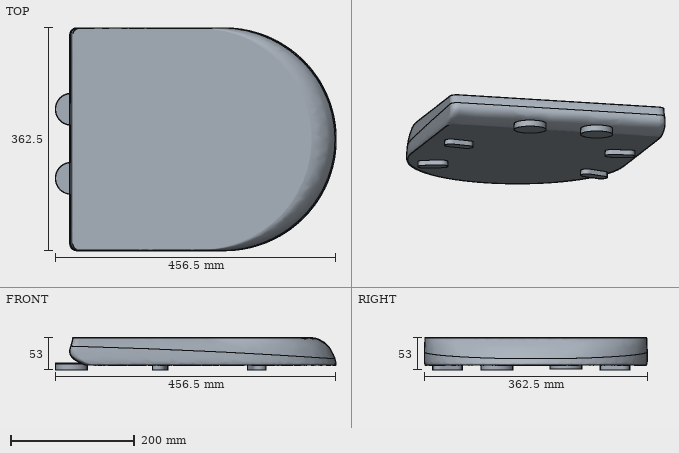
import cadquery as cq
import math

LENGTH = 456.5
WIDTH = 362.5
HEIGHT = 53.0
HALF_WIDTH = WIDTH / 2

SEAT_BOTTOM = 8.0
CORNER_RADIUS = 11.5
OUTER_LEVELS = [
    (SEAT_BOTTOM, 54.8, 453.5, 2.5),
    (11.5, 41.0, LENGTH, 0.5),
    (17.0, 31.5, 455.0, 0.0),
    (23.0, 25.5, 452.5, 0.0),
    (29.5, 23.5, 449.5, 0.0),
    (39.0, 25.0, 443.5, 0.5),
    (47.5, 28.0, 433.0, 1.0),
    (HEIGHT, 29.5, 416.5, 2.0),
]

SEAM_BACK = (25.5, 39.0)
SEAM_MIDDLE = (273.0, 29.0)
SEAM_FRONT = (449.0, 18.5)
CUT_MARGIN = 23.0

FITTINGS_Y = -7.5

DISC_RADIUS = 26.0
DISC_HEIGHT = 10.0
DISC_OFFSET = 56.0
DISC_LIFT = 1.5

PAD_OFFSET = 136.0
PAD_WIDTH = 20.5
PAD_LENGTH = 49.0
REAR_PAD_X = 170.0
REAR_PAD_TURN = 10.0
FRONT_PAD_X = 327.0
FRONT_PAD_TURN = -20.0


def outer_wire(z, back, tip, side_inset):
    """D outline: straight back with rounded corners, straight sides, semicircular front."""
    half = HALF_WIDTH - side_inset
    arc_center = tip - half
    corner = CORNER_RADIUS
    corner_mid = corner * (1 - math.sqrt(0.5))
    outline = (
        cq.Workplane("XY", origin=(0, 0, z))
        .moveTo(back, half - corner)
        .lineTo(back, corner - half)
        .threePointArc((back + corner_mid, corner_mid - half), (back + corner, -half))
        .lineTo(arc_center, -half)
        .threePointArc((tip, 0), (arc_center, half))
        .lineTo(back + corner, half)
        .threePointArc((back + corner_mid, half - corner_mid), (back, half - corner))
        .close()
    )
    return outline.val()


def outer_form():
    wires = [outer_wire(*level) for level in OUTER_LEVELS]
    return cq.Workplane(cq.Solid.makeLoft(wires))


def above_seam():
    """Block filling everything above the arched parting surface."""
    back_x = SEAM_BACK[0] - CUT_MARGIN
    front_x = LENGTH + CUT_MARGIN
    roof = HEIGHT + CUT_MARGIN
    return (
        cq.Workplane("XZ")
        .moveTo(back_x, SEAM_BACK[1])
        .lineTo(*SEAM_BACK)
        .threePointArc(SEAM_MIDDLE, SEAM_FRONT)
        .lineTo(front_x, SEAM_FRONT[1])
        .lineTo(front_x, roof)
        .lineTo(back_x, roof)
        .close()
        .extrude(HALF_WIDTH + CUT_MARGIN, both=True)
    )


def hinge_disc(side):
    base = DISC_LIFT if side > 0 else 0.0
    center = (DISC_RADIUS, FITTINGS_Y + side * DISC_OFFSET, base)
    return cq.Workplane("XY", origin=center).circle(DISC_RADIUS).extrude(DISC_HEIGHT)


def pad(x, side, turn):
    """Obround pad lying along Y, turned about Z; the two sides are mirror images."""
    center = (x, FITTINGS_Y + side * PAD_OFFSET, 0)
    return (
        cq.Workplane("XY", origin=center)
        .slot2D(PAD_LENGTH, PAD_WIDTH, 90 + side * turn)
        .extrude(SEAT_BOTTOM)
    )


body_form = outer_form()
upper_block = above_seam()
lid = body_form.intersect(upper_block)
seat = body_form.cut(upper_block)

discs = []
for side in (-1, 1):
    seat = seat.union(pad(REAR_PAD_X, side, REAR_PAD_TURN))
    seat = seat.union(pad(FRONT_PAD_X, side, FRONT_PAD_TURN))
    disc = hinge_disc(side)
    seat = seat.cut(disc)
    discs.append(disc)

result = cq.Compound.makeCompound([seat.val(), lid.val(), *[disc.val() for disc in discs]])